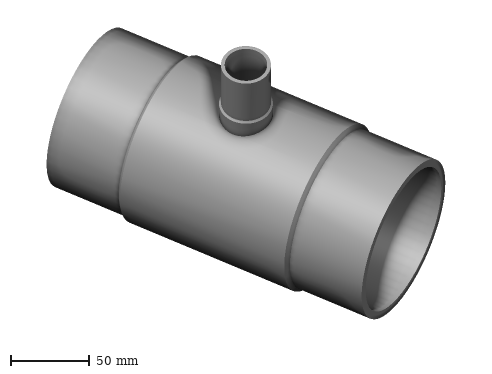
import cadquery as cq

pipe_length = 230.0
pipe_diameter = 110.0
pipe_bore = 99.4

sleeve_length = 125.1
sleeve_diameter = 115.2
sleeve_chamfer = (sleeve_diameter - pipe_diameter) / 2

overall_height = 162.5
branch_top = overall_height - sleeve_diameter / 2
branch_diameter = 32.0
branch_bore = 27.1
collar_diameter = 34.5
collar_top = 69.0
collar_chamfer = (collar_diameter - branch_diameter) / 2


def rod_along_x(diameter, length):
    """Solid cylinder on the X axis, centred on the origin."""
    return cq.Workplane("YZ", origin=(-length / 2, 0, 0)).circle(diameter / 2).extrude(length)


def rod_up(diameter, height):
    """Solid cylinder on the Z axis, starting at the pipe axis."""
    return cq.Workplane("XY").circle(diameter / 2).extrude(height)


pipe = rod_along_x(pipe_diameter, pipe_length)
sleeve = rod_along_x(sleeve_diameter, sleeve_length).faces("<X or >X").edges().chamfer(sleeve_chamfer)
collar = rod_up(collar_diameter, collar_top).faces(">Z").edges().chamfer(collar_chamfer)
branch = rod_up(branch_diameter, branch_top)
body = pipe.union(sleeve).union(collar).union(branch)

result = body.cut(rod_along_x(pipe_bore, pipe_length)).cut(rod_up(branch_bore, branch_top))